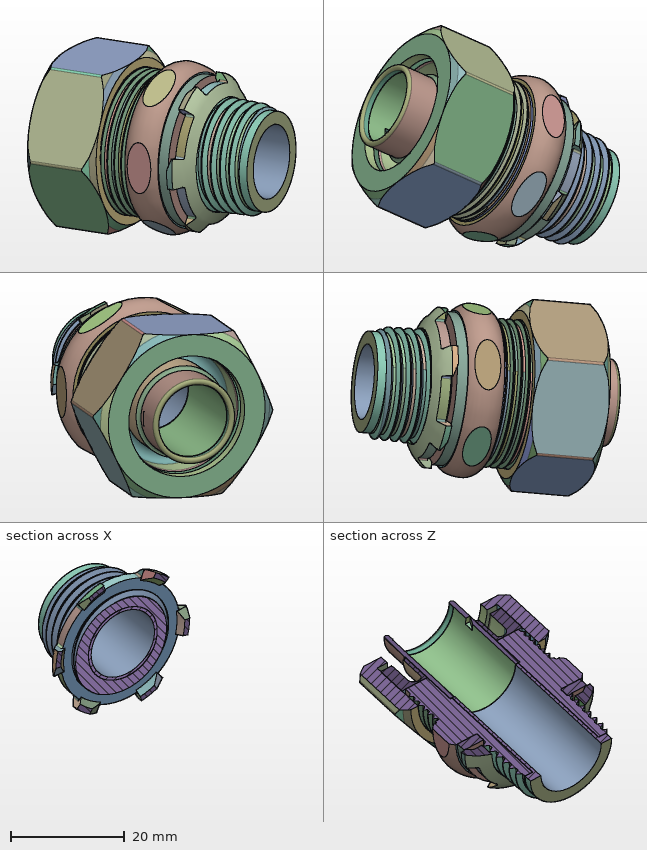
import cadquery as cq
import math


FERRULE_FRONT = 0.0
NUT_FRONT = 3.85
NUT_LIP_BACK = 5.75
SEAL_FRONT = 6.7
BODY_FRONT = 12.98
NUT_BACK = 17.68
FERRULE_BACK = 19.7
COLLAR_FRONT = 22.5
FLANGE_FRONT = 22.9
FLANGE_BACK = 29.55
WASHER_BACK = 31.45
PIPE_END = 43.2
OVERALL_LENGTH = 44.75

NUT_APOTHEM = 14.9
NUT_ANGLE = 4.25
NUT_CORNER_FILLET = 0.55
NUT_STEEP_CHAMFER = (0.75, 1.15)
NUT_SHALLOW_CHAMFER = (1.1, 1.15)
NUT_MOUTH_RADIUS = 11.0
NUT_CAVITY_RADIUS = 13.25

FERRULE_RADIUS = 7.75
FERRULE_BORE = 6.65
RELIEF_FRONT = 1.5
RELIEF_RADIUS = 6.75
TANG_FRONT = 5.15
TANG_LENGTH = 1.95
TANG_WIDTH = 2.6
TANG_DEPTH = 0.9

TROUGH_INNER = 8.4
TROUGH_OUTER = 10.8
TROUGH_STRAIGHT_END = 11.2
TROUGH_FLOOR_RADIUS = 1.35
SEAL_NOSE = 0.55
SEAL_RIM_LENGTH = 0.45
SEAL_RIM_RISE = 0.15

GLAND_ROOT = 12.55
GLAND_CREST = 13.2
COLLAR_RADIUS = 13.25
GLAND_PITCH = 1.395
GLAND_PHASE = 13.75
GLAND_TURNS = 6.5
GLAND_RIDGE_WIDTH = 0.95
FLANGE_EDGE_RADIUS = 13.9
FLANGE_CROWN_RADIUS = 15.5
FLANGE_FLAT_APOTHEM = 14.75
FLANGE_ANGLE = 30.0
PIPE_ROOT = 9.35
PIPE_RIDGE_HEIGHT = 0.95
PIPE_PITCH = 1.825
PIPE_PHASE = 29.4
PIPE_TURNS = 8
PIPE_RIDGE_WIDTH = 1.25
PIPE_TAPER = 1 / 32
BODY_BORE = 7.25
RIDGE_CREST_WIDTH = 0.2
RIDGE_SINK = 0.2
CYLINDER_ANGLE = 360.0

WASHER_RADIUS = 13.6
LINER_LIP_RADIUS = 9.0

LOCKNUT_WEB_FRONT = 32.25
LOCKNUT_BACK = 35.25
LOCKNUT_BORE = 10.3
LUG_COUNT = 6
LUG_STEP = 360 / LUG_COUNT
LUG_ANGLE = 2.2
LUG_RADIUS = 14.25
LUG_LIP_RADIUS = 13.1
LUG_LIP_LENGTH = 1.07
LUG_FOOT_RADIUS = 12.05
GAP_ANGLE = 37.0
GAP_FLOOR_RADIUS = 12.57
GAP_BACK = 34.05
GAP_FILLET = 0.35
BEVEL_NEAR = 0.65
BEVEL_FAR = 2.7
CLEARANCE = 0.9


def turned(points):
    """Solid of revolution about X from (station, radius) corners."""
    return cq.Workplane("XY").polyline(points).close().revolve(360, (0, 0, 0), (1, 0, 0))


def tube(front, back, inner, outer):
    return turned([(front, inner), (back, inner), (back, outer), (front, outer)])


def hexagon(front, back, apothem, angle):
    """Hexagonal prism along X with a corner at the given angle from +Y."""
    prism = cq.Workplane("YZ", origin=(front, 0, 0)).polygon(6, 2 * apothem / math.cos(math.pi / 6))
    return prism.extrude(back - front).rotate((0, 0, 0), (1, 0, 0), angle)


def thread_ridge(start, pitch, turns, root, height, width, taper=0.0, lefthand=False):
    """Helical ridge along X whose crest starts at the given station.

    A right-hand ridge starts on the -Z side and a left-hand one on the +Z side.
    """
    cone_angle = -math.degrees(math.atan(taper)) if taper else CYLINDER_ANGLE
    path = cq.Wire.makeHelix(pitch, pitch * turns, root, angle=cone_angle)
    flank_slope = (width - RIDGE_CREST_WIDTH) / 2 / height
    foot_width = width + 2 * flank_slope * RIDGE_SINK
    profile = [
        (root - RIDGE_SINK, -foot_width / 2),
        (root + height, -RIDGE_CREST_WIDTH / 2),
        (root + height, RIDGE_CREST_WIDTH / 2),
        (root - RIDGE_SINK, foot_width / 2),
    ]
    ridge = cq.Workplane("XZ").polyline(profile).close().sweep(cq.Workplane(path), isFrenet=True)
    ridge = ridge.rotate((0, 0, 0), (0, 1, 0), 90).translate((start, 0, 0))
    return ridge.mirror("XY") if lefthand else ridge


def make_nut():
    steep_x, steep_r = NUT_STEEP_CHAMFER
    shallow_x, shallow_r = NUT_SHALLOW_CHAMFER
    middle_radius = NUT_APOTHEM + steep_r
    corner_radius = middle_radius + shallow_r
    envelope = turned([
        (NUT_FRONT, 0),
        (NUT_FRONT, NUT_APOTHEM),
        (NUT_FRONT + steep_x, middle_radius),
        (NUT_FRONT + steep_x + shallow_x, corner_radius),
        (NUT_BACK - steep_x - shallow_x, corner_radius),
        (NUT_BACK - steep_x, middle_radius),
        (NUT_BACK, NUT_APOTHEM),
        (NUT_BACK, 0),
    ])
    prism = hexagon(NUT_FRONT, NUT_BACK, NUT_APOTHEM, NUT_ANGLE).edges("|X").fillet(NUT_CORNER_FILLET)
    mouth = tube(NUT_FRONT, NUT_LIP_BACK, 0, NUT_MOUTH_RADIUS)
    cavity = tube(NUT_LIP_BACK, NUT_BACK, 0, NUT_CAVITY_RADIUS)
    return prism.intersect(envelope).cut(mouth).cut(cavity)


def make_ferrule():
    wall = FERRULE_RADIUS - FERRULE_BORE
    shell = (
        cq.Workplane("XY")
        .moveTo(FERRULE_BACK, RELIEF_RADIUS)
        .lineTo(RELIEF_FRONT, RELIEF_RADIUS)
        .lineTo(RELIEF_FRONT, FERRULE_BORE)
        .lineTo(FERRULE_FRONT + wall / 2, FERRULE_BORE)
        .threePointArc(
            (FERRULE_FRONT, FERRULE_BORE + wall / 2), (FERRULE_FRONT + wall / 2, FERRULE_RADIUS)
        )
        .lineTo(FERRULE_BACK, FERRULE_RADIUS)
        .close()
        .revolve(360, (0, 0, 0), (1, 0, 0))
    )
    ramp = [
        (TANG_FRONT, 0),
        (TANG_FRONT, RELIEF_RADIUS + TANG_DEPTH),
        (TANG_FRONT + TANG_LENGTH, RELIEF_RADIUS),
        (TANG_FRONT + TANG_LENGTH, 0),
    ]
    pocket = cq.Workplane("XY").polyline(ramp).close().extrude(TANG_WIDTH / 2, both=True)
    return shell.cut(pocket)


def make_sealing_ring():
    floor_centre = TROUGH_OUTER - TROUGH_FLOOR_RADIUS
    inner_wall_end = TROUGH_STRAIGHT_END + math.sqrt(
        TROUGH_FLOOR_RADIUS**2 - (floor_centre - TROUGH_INNER) ** 2
    )
    nose_rise = TROUGH_INNER - FERRULE_RADIUS
    return (
        cq.Workplane("XY")
        .moveTo(BODY_FRONT, FERRULE_RADIUS)
        .lineTo(SEAL_FRONT - SEAL_NOSE, FERRULE_RADIUS)
        .radiusArc((SEAL_FRONT - SEAL_NOSE + nose_rise, TROUGH_INNER), -nose_rise)
        .lineTo(inner_wall_end, TROUGH_INNER)
        .threePointArc(
            (TROUGH_STRAIGHT_END + TROUGH_FLOOR_RADIUS, floor_centre), (TROUGH_STRAIGHT_END, TROUGH_OUTER)
        )
        .lineTo(SEAL_FRONT + SEAL_RIM_LENGTH, TROUGH_OUTER)
        .lineTo(SEAL_FRONT, TROUGH_OUTER + SEAL_RIM_RISE)
        .lineTo(SEAL_FRONT, NUT_CAVITY_RADIUS)
        .lineTo(BODY_FRONT, NUT_CAVITY_RADIUS)
        .close()
        .revolve(360, (0, 0, 0), (1, 0, 0))
    )


def make_flange():
    """Barrel-shaped wrench flange with six flats."""
    middle = (FLANGE_FRONT + FLANGE_BACK) / 2
    barrel = (
        cq.Workplane("XY")
        .moveTo(FLANGE_FRONT, 0)
        .lineTo(FLANGE_FRONT, FLANGE_EDGE_RADIUS)
        .threePointArc((middle, FLANGE_CROWN_RADIUS), (FLANGE_BACK, FLANGE_EDGE_RADIUS))
        .lineTo(FLANGE_BACK, 0)
        .close()
        .revolve(360, (0, 0, 0), (1, 0, 0))
    )
    return barrel.intersect(hexagon(FLANGE_FRONT, FLANGE_BACK, FLANGE_FLAT_APOTHEM, FLANGE_ANGLE))


def make_body():
    pipe_end_root = PIPE_ROOT - (PIPE_END - WASHER_BACK) * PIPE_TAPER
    core = turned([
        (BODY_FRONT, 0),
        (BODY_FRONT, GLAND_ROOT),
        (COLLAR_FRONT, GLAND_ROOT),
        (COLLAR_FRONT, COLLAR_RADIUS),
        (FLANGE_FRONT, COLLAR_RADIUS),
        (FLANGE_FRONT, PIPE_ROOT),
        (WASHER_BACK, PIPE_ROOT),
        (PIPE_END, pipe_end_root),
        (PIPE_END, 0),
    ])
    gland_thread = thread_ridge(
        GLAND_PHASE, GLAND_PITCH, GLAND_TURNS, GLAND_ROOT,
        GLAND_CREST - GLAND_ROOT, GLAND_RIDGE_WIDTH, lefthand=True,
    )
    root_at_start = PIPE_ROOT + (WASHER_BACK - PIPE_PHASE) * PIPE_TAPER
    pipe_thread = thread_ridge(
        PIPE_PHASE, PIPE_PITCH, PIPE_TURNS, root_at_start,
        PIPE_RIDGE_HEIGHT, PIPE_RIDGE_WIDTH, taper=PIPE_TAPER,
    )
    crest_radius = PIPE_ROOT + PIPE_RIDGE_HEIGHT
    pipe_envelope = turned([
        (WASHER_BACK, 0),
        (WASHER_BACK, crest_radius),
        (PIPE_END - crest_radius + pipe_end_root, crest_radius),
        (PIPE_END, pipe_end_root),
        (PIPE_END, 0),
    ])
    pipe_thread = pipe_thread.intersect(pipe_envelope)
    body = core.union(make_flange()).union(gland_thread).union(pipe_thread)
    ferrule_socket = tube(BODY_FRONT, FERRULE_BACK, 0, FERRULE_RADIUS)
    throat = tube(FERRULE_BACK, PIPE_END, 0, BODY_BORE)
    return body.cut(ferrule_socket).cut(throat)


def make_washer():
    return tube(FLANGE_BACK, WASHER_BACK, PIPE_ROOT, WASHER_RADIUS)


def make_liner():
    """Throat liner whose end lip covers the end of the pipe thread."""
    return turned([
        (FERRULE_BACK, FERRULE_BORE),
        (FERRULE_BACK, BODY_BORE),
        (PIPE_END, BODY_BORE),
        (PIPE_END, LINER_LIP_RADIUS),
        (OVERALL_LENGTH, LINER_LIP_RADIUS),
        (OVERALL_LENGTH, FERRULE_BORE),
    ])


def make_gap_cutter():
    """Cutter for one space between lugs: down to the floor beside the web, right through before it."""
    reach = LUG_RADIUS + CLEARANCE
    front = WASHER_BACK - CLEARANCE
    start = (LUG_STEP - GAP_ANGLE) / 2

    def sector(back, inner):
        corners = [(front, inner), (back, inner), (back, reach), (front, reach)]
        return cq.Workplane("XY").polyline(corners).close().revolve(GAP_ANGLE, (0, 0, 0), (1, 0, 0))

    def on_floor(edge):
        centre = edge.Center()
        return math.hypot(centre.y, centre.z) < GAP_FLOOR_RADIUS + CLEARANCE

    floor_space = sector(GAP_BACK, GAP_FLOOR_RADIUS)
    floor_space = floor_space.edges("|X").filter(on_floor).fillet(GAP_FILLET)
    space = floor_space.union(sector(LOCKNUT_WEB_FRONT, LOCKNUT_BORE))
    return space.rotate((0, 0, 0), (1, 0, 0), start)


def make_bevel_cutter():
    """Wedge that slopes one corner of the lug on the -Y side."""
    slope = [
        (WASHER_BACK, BEVEL_NEAR),
        (LOCKNUT_WEB_FRONT, BEVEL_FAR),
        (LOCKNUT_WEB_FRONT, BEVEL_FAR + CLEARANCE),
        (WASHER_BACK, BEVEL_FAR + CLEARANCE),
    ]
    return cq.Workplane("XZ").polyline(slope).close().extrude(LUG_RADIUS + CLEARANCE)


def make_locknut():
    nut = (
        cq.Workplane("XY")
        .moveTo(LOCKNUT_WEB_FRONT, LOCKNUT_BORE)
        .lineTo(LOCKNUT_WEB_FRONT, LUG_FOOT_RADIUS)
        .lineTo(WASHER_BACK, LUG_LIP_RADIUS)
        .lineTo(WASHER_BACK, LUG_RADIUS)
        .lineTo(WASHER_BACK + LUG_LIP_LENGTH, LUG_RADIUS)
        .threePointArc((GAP_BACK, GAP_FLOOR_RADIUS), (LOCKNUT_BACK, LOCKNUT_BORE))
        .close()
        .revolve(360, (0, 0, 0), (1, 0, 0))
    )
    cutters = [make_gap_cutter(), make_bevel_cutter()]
    for index in range(LUG_COUNT):
        angle = LUG_ANGLE + index * LUG_STEP
        for cutter in cutters:
            nut = nut.cut(cutter.rotate((0, 0, 0), (1, 0, 0), angle))
    return nut


nut = make_nut()
ferrule = make_ferrule()
sealing_ring = make_sealing_ring()
body = make_body()
washer = make_washer()
locknut = make_locknut()
liner = make_liner()

result = cq.Compound.makeCompound([
    nut.solids().val(),
    ferrule.solids().val(),
    sealing_ring.solids().val(),
    body.solids().val(),
    washer.solids().val(),
    locknut.solids().val(),
    liner.solids().val(),
])